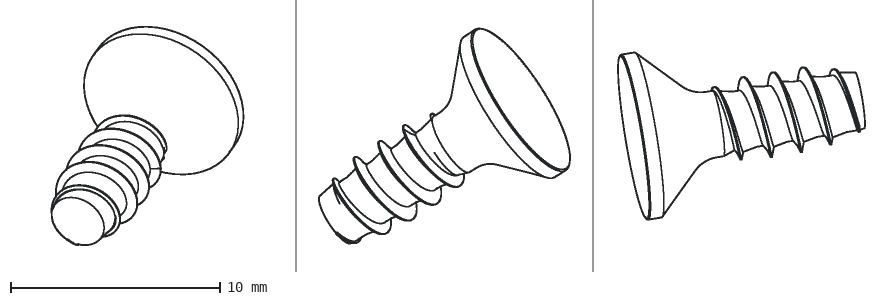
import cadquery as cq
import math


overall_length = 11.0
head_radius = 4.0
rim_height = 0.71
rim_chamfer = 0.06
shank_radius = 1.59
neck_angle = math.radians(45)
neck_fillet_end = 3.78
neck_end = 4.12

root_radius = 1.4
runout_length = 0.55

tip_taper_start = 10.0
tip_taper_radius = 1.51
tip_radius = 1.36
dent_radius = 1.3
dent_depth = 0.1

pitch = 1.455
crest_radius = 2.0
crest_width = 0.06
first_crest = 4.07
lead_in_start = -0.25
full_thread_start = 1.0
full_thread_end = 3.25
thread_end = 4.75
lead_in_radius = 1.66
thread_end_radius = 1.42

head_flank_knee = -0.15
knee_radius = 1.64
head_flank_foot = -0.3
tip_flank_foot = 0.2
shoulder_radius = 1.53
shoulder_start = 0.1
shoulder_end = 0.85
blade_embed = 0.15
shoulder_embed = 0.05


def make_blank():
    """Head, neck fillet and the plain core as one turned body."""
    neck_radius = (neck_fillet_end - rim_height - head_radius + shank_radius) / (
        math.sin(neck_angle) - 1 + math.cos(neck_angle)
    )

    def neck_point(angle):
        return (
            shank_radius + neck_radius * (1 - math.cos(angle)),
            neck_fillet_end - neck_radius * math.sin(angle),
        )

    return (
        cq.Workplane("YZ")
        .moveTo(0, 0)
        .lineTo(head_radius - rim_chamfer, 0)
        .lineTo(head_radius, rim_chamfer)
        .lineTo(head_radius, rim_height)
        .lineTo(*neck_point(neck_angle))
        .threePointArc(neck_point(neck_angle / 2), neck_point(0))
        .lineTo(shank_radius, neck_end)
        .lineTo(root_radius, neck_end + runout_length)
        .lineTo(root_radius, overall_length)
        .lineTo(0, overall_length)
        .close()
        .revolve(360, (0, 0), (0, 1))
    )


def sweep_along_helix(section, start_turn, end_turn, start_radius, end_radius):
    """Sweep a section of (axial, radial) offsets from the crest along a helix whose radius may change."""
    height = pitch * (end_turn - start_turn)
    growth = end_radius - start_radius
    if growth == 0:
        helix = cq.Wire.makeHelix(pitch, height, start_radius)
    else:
        slope = math.atan2(growth, height)
        slant = 1 / math.cos(slope)
        helix = cq.Wire.makeHelix(pitch * slant, height * slant, start_radius, angle=math.degrees(slope))
    points = [(start_radius + radial, axial) for axial, radial in section]
    swept = cq.Workplane("XZ").polyline(points).close().sweep(cq.Workplane(helix), isFrenet=True)
    start_position = first_crest + pitch * start_turn
    return swept.rotate((0, 0, 0), (0, 0, 1), 360 * start_turn).translate((0, 0, start_position))


def extend_line(first, second, radial):
    """Axial position where the line through two (axial, radial) points reaches a given radial value."""
    return first[0] + (second[0] - first[0]) * (radial - first[1]) / (second[1] - first[1])


def make_blade(start_turn, end_turn, start_radius, end_radius):
    """Sharp blade of the thread; its flanks are carried on into the core."""
    embedded = root_radius - blade_embed - crest_radius
    head_crest = (-crest_width / 2, 0)
    head_knee = (head_flank_knee, knee_radius - crest_radius)
    head_foot = (head_flank_foot, root_radius - crest_radius)
    tip_crest = (crest_width / 2, 0)
    tip_foot = (tip_flank_foot, shoulder_radius - crest_radius)
    section = [
        head_crest,
        head_knee,
        (extend_line(head_knee, head_foot, embedded), embedded),
        (extend_line(tip_crest, tip_foot, embedded), embedded),
        tip_crest,
    ]
    return sweep_along_helix(section, start_turn, end_turn, start_radius, end_radius)


def make_shoulder():
    """Sloping core surface behind the blade, running down into the root."""
    top = (tip_flank_foot, shoulder_radius - root_radius)
    foot = (shoulder_end, 0)
    slope = (foot[1] - top[1]) / (foot[0] - top[0])
    section = [
        (shoulder_start, -shoulder_embed),
        (shoulder_start, slope * (shoulder_start - shoulder_end)),
        (extend_line(top, foot, -shoulder_embed), -shoulder_embed),
    ]
    return sweep_along_helix(section, lead_in_start, thread_end, root_radius, root_radius)


def make_core_envelope():
    """Body that tapers the core at the tip and leaves everything before it uncut."""
    return (
        cq.Workplane("YZ")
        .moveTo(0, 0)
        .lineTo(2 * head_radius, 0)
        .lineTo(2 * head_radius, neck_end)
        .lineTo(crest_radius, tip_taper_start)
        .lineTo(tip_taper_radius, tip_taper_start)
        .lineTo(tip_radius, overall_length)
        .lineTo(0, overall_length)
        .close()
        .revolve(360, (0, 0), (0, 1))
    )


def make_threaded_zone():
    """Space between the neck and the tip face, to which the thread is trimmed."""
    zone_length = overall_length - neck_end
    return cq.Workplane("XY").workplane(offset=neck_end).circle(head_radius).extrude(zone_length)


def make_blades():
    """Rising, full-height and fading stretches of the thread blade."""
    return [
        make_blade(lead_in_start, full_thread_start, lead_in_radius, crest_radius),
        make_blade(full_thread_start, full_thread_end, crest_radius, crest_radius),
        make_blade(full_thread_end, thread_end, crest_radius, thread_end_radius),
    ]


def make_tip_dent():
    apex = cq.Vector(0, 0, overall_length - dent_depth)
    return cq.Workplane(cq.Solid.makeCone(0, dent_radius, dent_depth, apex))


threaded_zone = make_threaded_zone()
core = make_blank().union(make_shoulder().intersect(threaded_zone))
screw = core.intersect(make_core_envelope())
for blade in make_blades():
    screw = screw.union(blade.intersect(threaded_zone))
screw = screw.cut(make_tip_dent()).solids()

result = screw.rotate((0, 0, 0), (1, 0, 0), 90)